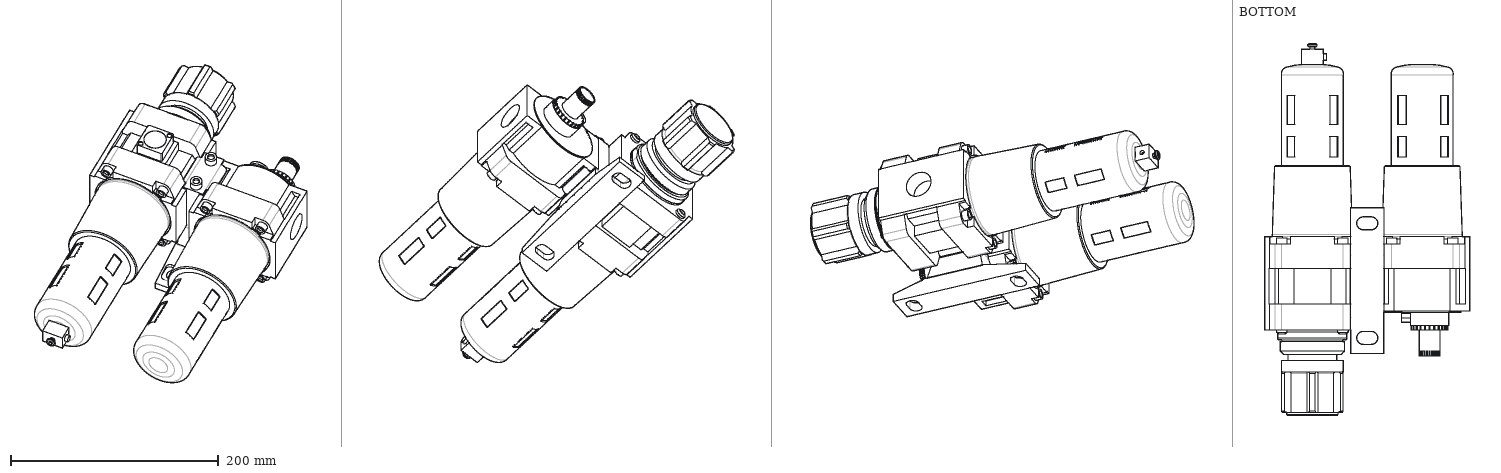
import cadquery as cq
import math


unit_pitch = 105.8
bracket_x = unit_pitch / 2

block_width = 92.0
block_height = 54.5
block_top = block_height / 2
regulator_length = 90.0
lubricator_length = 71.7
flange_width = 82.5
flange_crest_width = 69.0
flange_height = 90.0
flange_corner_radius = 7.0
band_start = 30.5
band_end = 65.0
barrel_radius = 38.5
pedestal_width = 36.0

groove_inner_x = 32.5
groove_floor_x = 36.2
groove_outer_x = 41.5
groove_floor_z = 22.0

port_diameter = 26.0
port_depth = 18.0
port_y = 47.5

screw_x = 29.5
screw_z = 36.5
screw_diameter = 10.0
socket_diameter = 6.5
socket_depth = 2.0
screw_pocket_depth = 7.0
screw_pocket_x = 21.0
screw_pocket_z = 28.7
front_head_height = 6.0
rear_head_height = 4.0
rear_head_chamfer = 1.8

guard_top_radius = 38.7
guard_bottom_radius = 36.5
guard_length = 68.5
guard_chamfer = 1.0
guard_groove_radius = 40.5
guard_groove_depth = 2.0
bowl_diameter = 60.0
bowl_radius = bowl_diameter / 2
bowl_corner_start = 155.5
bowl_corner_end = 163.5
bowl_corner_inner_radius = 24.7
bowl_dish_radius = 17.0
bowl_dish_depth = 165.3
bowl_end = 166.0
bowl_end_diameter = 20.0
window_count = 4
window_first_angle = 45
window_width = 10.8
window_floor_radius = 28.5
window_spans = [(76.7, 96.5), (108.0, 136.2)]
lubricator_window_twist = 3.0

drain_width = 21.0
drain_height = 15.5
drain_end = 180.7
drain_cross_y = -173.0
drain_button_diameter = 6.5
drain_button_length = 3.2
drain_hole_diameter = 4.3
drain_hole_depth = 3.5
nipple_neck_diameter = 5.0
nipple_diameter = 9.0
nipple_start = 183.0
nipple_end = 186.0
nipple_chamfer = 1.0
nipple_bore = 3.0

bonnet_base_radius = 34.5
bonnet_base_flats = 66.7
bonnet_seat_radius = 34.8
bonnet_seat_height = 1.8
bonnet_base_end = 99.3
bonnet_chamfer = 1.8
bonnet_groove_radius = 29.5
bonnet_ring_radius = 31.2
bonnet_ring_start = 101.0
bonnet_ring_end = 113.5
bonnet_ring_chamfer = 3.5
bonnet_neck_radius = 23.5
knob_ring_diameter = 60.0
knob_ring_start = 119.0
knob_ring_end = 130.0
knob_core_radius = 27.2
knob_core_fillet = 1.8
knob_grip_end = 169.2
knob_cap_radius = 24.7
knob_cap_chamfer = 1.0
knob_end = 172.5
rib_count = 6
rib_circle_diameter = 65.5
rib_radius = rib_circle_diameter / 2
rib_base_width = 10.8
rib_crest_width = 5.5
rib_chamfer = 1.5

gauge_size = 27.2
gauge_y = 50.2
gauge_top = 50.2
gauge_corner = 1.0
dial_diameter = 21.5
dial_depth = 0.5
gauge_screw_offset = 10.5
gauge_screw_diameter = 4.5
gauge_screw_depth = 1.0

rim_radius = 37.5
rim_height = 1.0
sight_x = 7.0
sight_collar_diameter = 37.0
sight_collar_end = 85.7
sight_crown_diameter = 35.5
sight_crown_end = 90.0
sight_tube_diameter = 20.0
sight_tube_end = 115.0
knurl_length = 5.0
knurl_count = 24
knurl_width = 1.0
plug_x = -9.7
plug_z = 19.7
plug_diameter = 20.8
plug_foot_diameter = 19.0
plug_foot_end = 74.0
plug_base_diameter = 25.0
plug_base_x = -7.5
plug_base_end = 78.0
plug_end = 82.5

clamp_start = 23.5
clamp_end = lubricator_length
clamp_top = 29.0
clamp_bottom = -30.0
cap_width = 21.0
hook_radius = 5.7
clamp_screw_diameter = 11.0
clamp_screw_top = 36.0
clamp_screw_ys = [31.0, 64.0]
arm_top_width = 21.5
arm_bottom_width = 29.8
foot_width = 32.0
foot_length = 140.5
foot_start = -28.0
foot_bottom = -70.3
foot_edge_top = -62.5
foot_top = -52.7
foot_crest_start = 17.5
foot_crest_end = 77.8
arm_inset = 0.7
slot_inset = 15.0
slot_length = 20.0
slot_width = 12.2
slot_pad_length = 27.5
slot_pad_width = 17.2
slot_pad_radius = 4.3


def cylinder_y(diameter, start, end, x=0.0, z=0.0):
    """A cylinder along Y between two Y positions."""
    return cq.Workplane("XZ", origin=(x, start, z)).circle(diameter / 2).extrude(start - end)


def box_between(x, y, z):
    """A box from three (low, high) pairs."""
    size = [high - low for low, high in (x, y, z)]
    return cq.Workplane("XY").box(*size, centered=False).translate((x[0], y[0], z[0]))


def prism_y(points, start, end):
    """A closed XZ outline extruded along Y."""
    return cq.Workplane("XZ", origin=(0, start, 0)).polyline(points).close().extrude(start - end)


def four_corners(solid):
    """A solid with its mirror images in the X = 0 and Z = 0 planes."""
    pair = solid.union(solid.mirror("YZ"))
    return pair.union(pair.mirror("XY"))


def flange(start, end):
    """Wide plate with sloping sides and rounded corners."""
    half_width = flange_width / 2
    half_crest = flange_crest_width / 2
    half_height = flange_height / 2
    outline = [
        (-half_width, -block_top), (-half_crest, -half_height),
        (half_crest, -half_height), (half_width, -block_top),
        (half_width, block_top), (half_crest, half_height),
        (-half_crest, half_height), (-half_width, block_top),
    ]
    plate = prism_y(outline, start, end)
    corners = plate.edges("|Y").edges("<Z or >Z")
    return corners.fillet(flange_corner_radius)


def clamp_grooves():
    """Sloped-wall grooves for the clamp hooks, along all four long edges of the block."""
    outline = [
        (groove_inner_x, block_top), (groove_outer_x, block_top),
        (groove_outer_x, groove_floor_z), (groove_floor_x, groove_floor_z),
    ]
    return four_corners(prism_y(outline, band_start, band_end))


def front_screw():
    """Socket head standing on the floor of a front pocket."""
    start = screw_pocket_depth - front_head_height
    head = cylinder_y(screw_diameter, start, screw_pocket_depth, screw_x, screw_z)
    return head.cut(cylinder_y(socket_diameter, start, start + socket_depth, screw_x, screw_z))


def screw_pockets():
    """Corner recesses around the front screw heads, kept clear of the guard."""
    pocket = box_between(
        (screw_pocket_x, block_width / 2), (0, screw_pocket_depth), (screw_pocket_z, flange_height / 2)
    )
    keep = cylinder_y(2 * guard_groove_radius, 0, screw_pocket_depth)
    return four_corners(pocket.cut(keep))


def guard_groove():
    """Shallow ring around the root of the guard."""
    outer = cylinder_y(2 * guard_groove_radius, 0, guard_groove_depth)
    return outer.cut(cylinder_y(2 * guard_top_radius, 0, guard_groove_depth))


def guard_and_bowl():
    """Tapered guard and dished bowl, turned about Y."""
    bend = math.sqrt(0.5)
    bend_x = bowl_corner_inner_radius + bend * (bowl_radius - bowl_corner_inner_radius)
    bend_y = bowl_corner_start + bend * (bowl_corner_end - bowl_corner_start)
    return (
        cq.Workplane("XY")
        .moveTo(0, 0)
        .lineTo(guard_top_radius, 0)
        .lineTo(guard_top_radius, -guard_groove_depth)
        .lineTo(guard_bottom_radius, guard_chamfer - guard_length)
        .lineTo(guard_bottom_radius - guard_chamfer, -guard_length)
        .lineTo(bowl_radius, -guard_length)
        .lineTo(bowl_radius, -bowl_corner_start)
        .threePointArc((bend_x, -bend_y), (bowl_corner_inner_radius, -bowl_corner_end))
        .lineTo(bowl_dish_radius, -bowl_dish_depth)
        .lineTo(bowl_end_diameter / 2, -bowl_end)
        .lineTo(0, -bowl_end)
        .close()
        .revolve(360, (0, 0, 0), (0, 1, 0))
    )


def windows(twist):
    """Two rows of shallow rectangular recesses in the bowl."""
    cuts = cq.Workplane("XY")
    for near, far in window_spans:
        window = box_between(
            (window_floor_radius, bowl_radius), (-far, -near), (-window_width / 2, window_width / 2)
        )
        for index in range(window_count):
            angle = window_first_angle + 360 / window_count * index - twist
            cuts = cuts.add(window.rotate((0, 0, 0), (0, 1, 0), angle))
    return cuts.combine()


def port(side):
    """Blind pipe port in the left (-1) or right (+1) wall of the block."""
    return (
        cq.Workplane("YZ", origin=(side * block_width / 2, port_y, 0))
        .circle(port_diameter / 2)
        .extrude(-side * port_depth)
    )


def unit(length, port_side, window_twist):
    """Block, front flange with screws, guard and bowl."""
    half_width = block_width / 2
    block = box_between((-half_width, half_width), (0, length), (-block_top, block_top))
    body = block.cut(clamp_grooves()).cut(port(port_side)).union(flange(0, band_start))
    body = body.cut(screw_pockets()).cut(guard_groove())
    return body.union(four_corners(front_screw())).union(guard_and_bowl().cut(windows(window_twist)))


def rear_screw():
    """Chamfered socket head on the rear face of the rear flange."""
    end = regulator_length + rear_head_height
    head = cylinder_y(screw_diameter, regulator_length, end, screw_x, screw_z)
    head = head.faces(">Y").chamfer(rear_head_chamfer)
    return head.cut(cylinder_y(socket_diameter, end - socket_depth, end, screw_x, screw_z))


def bonnet():
    """Round seat, flatted base, chamfered ring and neck."""
    base = cylinder_y(2 * bonnet_base_radius, regulator_length, bonnet_base_end)
    base = base.faces(">Y").chamfer(bonnet_chamfer)
    half_flats = bonnet_base_flats / 2
    base = base.intersect(
        box_between(
            (-half_flats, half_flats),
            (regulator_length, bonnet_base_end),
            (-bonnet_base_radius, bonnet_base_radius),
        )
    )
    seat = cylinder_y(2 * bonnet_seat_radius, regulator_length, regulator_length + bonnet_seat_height)
    ring = cylinder_y(2 * bonnet_ring_radius, bonnet_ring_start, bonnet_ring_end)
    ring = ring.faces(">Y").chamfer(bonnet_ring_chamfer)
    groove = cylinder_y(2 * bonnet_groove_radius, bonnet_base_end, bonnet_ring_start)
    neck = cylinder_y(2 * bonnet_neck_radius, bonnet_ring_end, knob_ring_start)
    return seat.union(base).union(groove).union(ring).union(neck)


def knob():
    """Round knob with tapered grip ribs."""
    ring = cylinder_y(knob_ring_diameter, knob_ring_start, knob_ring_end)
    core = cylinder_y(2 * knob_core_radius, knob_ring_end, knob_grip_end)
    cap = cylinder_y(2 * knob_cap_radius, knob_grip_end, knob_end).faces(">Y").chamfer(knob_cap_chamfer)
    body = ring.union(core)
    core_root = body.edges(cq.selectors.RadiusNthSelector(0)).edges("<Y")
    body = core_root.fillet(knob_core_fillet).union(cap)
    half_base = rib_base_width / 2
    half_crest = rib_crest_width / 2
    base_z = math.sqrt(knob_core_radius**2 - half_base**2)
    outline = [
        (-half_base, 0), (-half_base, base_z), (-half_crest, rib_radius),
        (half_crest, rib_radius), (half_base, base_z), (half_base, 0),
    ]
    rib = prism_y(outline, knob_ring_end, knob_grip_end)
    rib = rib.faces(">Z").edges("|X").chamfer(rib_chamfer)
    for index in range(rib_count):
        body = body.union(rib.rotate((0, 0, 0), (0, 1, 0), 360 / rib_count * index))
    return body


def pedestals():
    """Raised pads above and below the block, between the two flanges."""
    half_width = pedestal_width / 2
    return box_between((-half_width, half_width), (band_start, band_end), (-barrel_radius, barrel_radius))


def gauge():
    """Square gauge with a sunk dial and two small screws at opposite corners."""
    block = (
        cq.Workplane("XY", origin=(0, gauge_y, barrel_radius))
        .rect(gauge_size, gauge_size)
        .extrude(gauge_top - barrel_radius)
        .edges("|Z")
        .chamfer(gauge_corner)
    )
    face = cq.Workplane("XY", origin=(0, gauge_y, gauge_top))
    dial = face.circle(dial_diameter / 2).extrude(-dial_depth)
    corners = [(gauge_screw_offset, gauge_screw_offset), (-gauge_screw_offset, -gauge_screw_offset)]
    screws = face.pushPoints(corners).circle(gauge_screw_diameter / 2).extrude(-gauge_screw_depth)
    return block.cut(dial).cut(screws)


def drain():
    """Drain block with a side button, a cross hole and a flared nipple."""
    half_width = drain_width / 2
    block = box_between(
        (-half_width, half_width), (-drain_end, -bowl_end), (-drain_height / 2, drain_height / 2)
    )
    cross = cq.Workplane("YZ", origin=(0, drain_cross_y, 0))
    button = cross.circle(drain_button_diameter / 2).extrude(half_width + drain_button_length)
    hole = (
        cross.workplane(offset=-half_width).circle(drain_hole_diameter / 2).extrude(drain_hole_depth)
    )
    neck = cylinder_y(nipple_neck_diameter, -nipple_start, -drain_end)
    nipple = cylinder_y(nipple_diameter, -nipple_end, -nipple_start).edges().chamfer(nipple_chamfer)
    bore = cylinder_y(nipple_bore, -nipple_end, -drain_end)
    return block.union(button).cut(hole).union(neck).union(nipple).cut(bore)


def make_regulator():
    body = unit(regulator_length, -1, 0).union(flange(band_end, regulator_length)).union(pedestals())
    body = body.union(four_corners(rear_screw()))
    return body.union(bonnet()).union(knob()).union(gauge()).union(drain())


def knurl_cuts(diameter, start, end, x):
    """Narrow square notches around the rim of a cylinder."""
    notch = box_between(
        (diameter / 2 - knurl_width, diameter / 2 + knurl_width),
        (start, end),
        (-knurl_width / 2, knurl_width / 2),
    )
    cuts = cq.Workplane("XY")
    for index in range(knurl_count):
        cuts = cuts.add(notch.rotate((0, 0, 0), (0, 1, 0), 360 / knurl_count * index))
    return cuts.combine().translate((x, 0, 0))


def sight_tube():
    """Collar, notched crown and tube with a knurled end."""
    collar = cylinder_y(sight_collar_diameter, lubricator_length, sight_collar_end, sight_x)
    crown = cylinder_y(sight_crown_diameter, sight_collar_end, sight_crown_end, sight_x)
    crown = crown.cut(knurl_cuts(sight_crown_diameter, sight_collar_end, sight_crown_end, sight_x))
    tube = cylinder_y(sight_tube_diameter, sight_collar_end, sight_tube_end, sight_x)
    knurl_start = sight_tube_end - knurl_length
    tube = tube.cut(knurl_cuts(sight_tube_diameter, knurl_start, sight_tube_end, sight_x))
    return collar.union(crown).union(tube)


def fill_plug():
    """Narrow foot, wide offset base and plug head."""
    foot = cylinder_y(plug_foot_diameter, lubricator_length, plug_foot_end, plug_x, plug_z)
    base = cylinder_y(plug_base_diameter, plug_foot_end, plug_base_end, plug_base_x, plug_z)
    return foot.union(base).union(cylinder_y(plug_diameter, plug_foot_end, plug_end, plug_x, plug_z))


def make_lubricator():
    body = unit(lubricator_length, 1, lubricator_window_twist)
    body = body.union(cylinder_y(2 * barrel_radius, band_start, lubricator_length))
    body = body.union(cylinder_y(2 * rim_radius, lubricator_length, lubricator_length + rim_height))
    body = body.union(sight_tube()).union(fill_plug())
    return body.translate((unit_pitch, 0, 0))


def clamp():
    """Web between the units, with caps and hooks that grip both blocks."""
    half_gap = (unit_pitch - block_width) / 2
    half_cap = cap_width / 2
    lip = bracket_x - groove_outer_x
    span = (clamp_start, clamp_end)
    web = box_between((-half_gap, half_gap), span, (clamp_bottom, clamp_top))
    cap = box_between((-half_cap, half_cap), span, (block_top, clamp_top))
    hook_centre_z = clamp_top - hook_radius
    bend = hook_radius * math.sqrt(0.5)
    hook = (
        cq.Workplane("XZ", origin=(0, band_start, 0))
        .moveTo(half_cap, clamp_top)
        .threePointArc((half_cap + bend, hook_centre_z + bend), (half_cap + hook_radius, hook_centre_z))
        .lineTo(half_cap + hook_radius, groove_floor_z)
        .lineTo(lip, groove_floor_z)
        .lineTo(lip, block_top)
        .lineTo(half_cap, block_top)
        .close()
        .extrude(band_start - band_end)
    )
    lower_cap = box_between((-half_cap, half_cap), span, (clamp_bottom, -block_top))
    return web.union(cap).union(lower_cap).union(four_corners(hook))


def clamp_screws():
    points = [(0, y) for y in clamp_screw_ys]
    face = cq.Workplane("XY", origin=(0, 0, clamp_top))
    heads = face.pushPoints(points).circle(clamp_screw_diameter / 2).extrude(clamp_screw_top - clamp_top)
    sockets = (
        cq.Workplane("XY", origin=(0, 0, clamp_screw_top))
        .pushPoints(points)
        .circle(socket_diameter / 2)
        .extrude(-socket_depth)
    )
    return heads.cut(sockets)


def arm():
    """Flared arm from the clamp down to the crest of the foot."""
    top_y = (clamp_start + clamp_end) / 2
    bottom_y = (foot_crest_start + foot_crest_end) / 2
    return (
        cq.Workplane("XY", origin=(0, 0, clamp_bottom))
        .center(0, top_y)
        .rect(arm_top_width, clamp_end - clamp_start)
        .workplane(offset=foot_top - clamp_bottom)
        .center(0, bottom_y - top_y)
        .rect(arm_bottom_width, foot_crest_end - foot_crest_start - 2 * arm_inset)
        .loft(ruled=True)
    )


def foot():
    """Foot with sloping ends, each with a slot in a flat sunk pad."""
    foot_end = foot_start + foot_length
    slope = (foot_top - foot_edge_top) / (foot_crest_start - foot_start)
    pad_floor = foot_edge_top + slope * (slot_inset - slot_pad_width / 2)
    body = (
        cq.Workplane("YZ", origin=(-foot_width / 2, 0, 0))
        .polyline([
            (foot_start, foot_bottom), (foot_end, foot_bottom), (foot_end, foot_edge_top),
            (foot_crest_end, foot_top), (foot_crest_start, foot_top), (foot_start, foot_edge_top),
        ])
        .close()
        .extrude(foot_width)
    )
    centres = [(0, foot_start + slot_inset), (0, foot_end - slot_inset)]
    pads = (
        cq.Workplane("XY", origin=(0, 0, pad_floor))
        .pushPoints(centres)
        .rect(slot_pad_length, slot_pad_width)
        .extrude(foot_top - pad_floor)
        .edges("|Z")
        .fillet(slot_pad_radius)
    )
    slots = (
        cq.Workplane("XY", origin=(0, 0, foot_bottom))
        .pushPoints(centres)
        .slot2D(slot_length, slot_width)
        .extrude(foot_top - foot_bottom)
    )
    return body.cut(pads).cut(slots)


def make_bracket():
    body = clamp().union(clamp_screws()).union(arm()).union(foot())
    return body.translate((bracket_x, 0, 0))


regulator = make_regulator().solids()
lubricator = make_lubricator().solids()
bracket = make_bracket().solids()
result = cq.Compound.makeCompound([regulator.val(), lubricator.val(), bracket.val()])